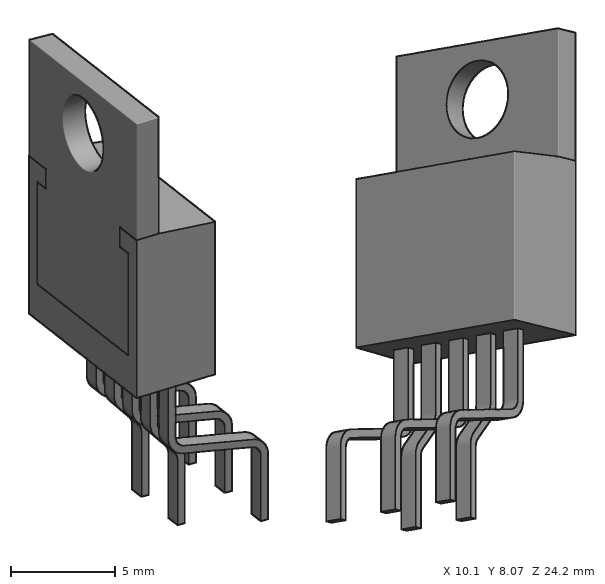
import cadquery as cq
import math


TOTAL_WIDTH = 10.1
TOTAL_DEPTH = 8.07
TOTAL_HEIGHT = 24.17

SIDE_DRAFT = 2
EDGE_RADIUS = 0.05

HOUSING_DEPTH = 4.5
HOUSING_SHOULDER = 8.55
TOP_SLOPE = 5

TAB_TOP = 14.86
TAB_THICKNESS = 1.28
NECK_WIDTH = 6.91
NECK_BOTTOM = 7.5
PAD_WIDTH = 8.53
PAD_BOTTOM = 1.95
HOLE_DIAMETER = 3.8
HOLE_DROP = 2.8

LEAD_COUNT = 5
LEAD_PITCH = 1.7
LEAD_WIDTH = 0.9
LEAD_THICKNESS = 0.4
LEAD_Y = 2.7
LEAD_TIP_Z = TAB_TOP - TOTAL_HEIGHT
LONG_TIP_Y = TOTAL_DEPTH - LEAD_THICKNESS / 2
SHORT_TIP_Y = 4.23
BEND_TOP = -3.45
BEND_DROP = 2.3
INNER_BEND_RADIUS = 0.6
BEND_RADIUS = INNER_BEND_RADIUS + LEAD_THICKNESS / 2


def drafted_block(depth, base_z, height):
    """Upright block, full width at the front, whose side walls lean in towards the back."""
    front_half = TOTAL_WIDTH / 2
    back_half = front_half - depth * math.tan(math.radians(SIDE_DRAFT))
    return (
        cq.Workplane("XY", origin=(0, 0, base_z))
        .polyline([(-front_half, 0), (front_half, 0), (back_half, depth), (-back_half, depth)])
        .close()
        .extrude(height)
    )


def make_tab():
    """Plate with a mounting hole, narrowed by the lugs and sunk into the housing."""
    plate = drafted_block(TAB_THICKNESS, HOUSING_SHOULDER, TAB_TOP - HOUSING_SHOULDER)
    hole = (
        cq.Workplane("XZ", origin=(0, 0, TAB_TOP - HOLE_DROP))
        .circle(HOLE_DIAMETER / 2)
        .extrude(-TAB_THICKNESS)
    )
    top_sides = "(>Z and (not |X))"
    top_front = "(|X and >Z and <Y)"
    hole_rim = "(%CIRCLE and <Y)"
    plate = plate.cut(hole).edges(f"|Z or {top_sides} or {top_front} or {hole_rim}").fillet(EDGE_RADIUS)

    neck = (
        cq.Workplane("XY", origin=(0, 0, NECK_BOTTOM))
        .box(NECK_WIDTH, TAB_THICKNESS, HOUSING_SHOULDER - NECK_BOTTOM, centered=(True, False, False))
    )
    pad = (
        cq.Workplane("XY", origin=(0, 0, PAD_BOTTOM))
        .box(PAD_WIDTH, TAB_THICKNESS, NECK_BOTTOM - PAD_BOTTOM, centered=(True, False, False))
    )
    return plate.union(neck).union(pad)


def make_lead(x, tip_y):
    """Flat lead that leaves the housing downwards, jogs back to tip_y and turns down again."""
    jog = tip_y - LEAD_Y
    centre_offset = jog - 2 * BEND_RADIUS
    straight = math.sqrt(centre_offset**2 + BEND_DROP**2 - (2 * BEND_RADIUS) ** 2)
    turn = math.atan2(centre_offset, BEND_DROP) + math.atan2(2 * BEND_RADIUS, straight)

    bend_y = BEND_RADIUS * (1 - math.cos(turn))
    bend_z = BEND_RADIUS * math.sin(turn)
    bend_bottom = BEND_TOP - BEND_DROP
    path = (
        cq.Workplane("YZ", origin=(x, 0, 0))
        .moveTo(LEAD_Y, 0)
        .lineTo(LEAD_Y, BEND_TOP)
        .tangentArcPoint((LEAD_Y + bend_y, BEND_TOP - bend_z), relative=False)
        .lineTo(tip_y - bend_y, bend_bottom + bend_z)
        .tangentArcPoint((tip_y, bend_bottom), relative=False)
        .lineTo(tip_y, LEAD_TIP_Z)
    )
    return cq.Workplane("XY", origin=(x, LEAD_Y, 0)).rect(LEAD_WIDTH, LEAD_THICKNESS).sweep(path)


def make_housing(tab):
    """Moulded block with drafted sides, a recess for the tab and the leads below it."""
    back_top = HOUSING_SHOULDER - (HOUSING_DEPTH - TAB_THICKNESS) * math.tan(math.radians(TOP_SLOPE))
    side_profile = (
        cq.Workplane("YZ", origin=(-TOTAL_WIDTH / 2, 0, 0))
        .polyline([
            (0, 0),
            (HOUSING_DEPTH, 0),
            (HOUSING_DEPTH, back_top),
            (TAB_THICKNESS, HOUSING_SHOULDER),
            (0, HOUSING_SHOULDER),
        ])
        .close()
        .extrude(TOTAL_WIDTH)
    )
    block = drafted_block(HOUSING_DEPTH, 0, HOUSING_SHOULDER).edges("|Z and >Y").fillet(EDGE_RADIUS)
    housing = block.intersect(side_profile).cut(tab)

    for index in range(LEAD_COUNT):
        x = (index - (LEAD_COUNT - 1) / 2) * LEAD_PITCH
        tip_y = LONG_TIP_Y if index % 2 == 0 else SHORT_TIP_Y
        housing = housing.union(make_lead(x, tip_y))
    return housing


tab = make_tab()
housing = make_housing(tab)

result = cq.Compound.makeCompound([housing.val(), tab.val()])